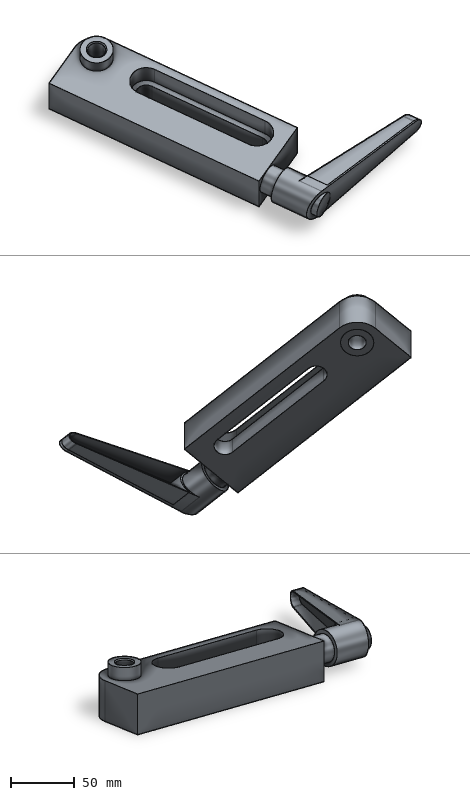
import cadquery as cq
import math


BLOCK_LENGTH = 190.0
BLOCK_WIDTH = 60.0
BLOCK_HEIGHT = 34.0
CORNER_RADIUS = 20.0

BUSH_X = CORNER_RADIUS
BUSH_Y = BLOCK_WIDTH - CORNER_RADIUS
BUSH_DIAMETER = 26.0
BUSH_BORE = 14.0
BUSH_CHAMFER = 1.0
BUSH_PROJECTION = 11.0
BUSH_HEIGHT = BLOCK_HEIGHT + BUSH_PROJECTION

SLOT_CENTRE_X = 115.0
SLOT_TRAVEL = 100.0
POCKET_WIDTH = BUSH_DIAMETER
POCKET_DEPTH = BLOCK_HEIGHT / 2
SLOT_WIDTH = 17.0

LEVER_AXIS_Y = 13.35
LEVER_AXIS_Z = 21.5
STEM_DIAMETER = 23.5
STEM_LENGTH = 12.0
HUB_RADIUS = 15.0
HUB_START_X = BLOCK_LENGTH + STEM_LENGTH
SCREW_HEAD_DIAMETER = 21.0
SCREW_HEAD_END_X = 240.7

ARM_LENGTH = 101.0
ARM_TIP_RADIUS = 7.0
ARM_TIP_Y = LEVER_AXIS_Y + ARM_LENGTH + ARM_TIP_RADIUS
ARM_END_X = 266.9
ARM_LEAN = math.radians(15.0)
ARM_TIP_THICKNESS = 10.4
ARM_ROOT_THICKNESS = 20.4
ARM_WALL = 0.75
ARM_HUB_WALL = 1.5
ARM_FLOOR = 1.8


def outer_face_x(y):
    """X of the leaning outer face of the lever at a given Y."""
    return ARM_END_X - (ARM_TIP_Y - y) * math.tan(ARM_LEAN)


def make_block():
    block = (
        cq.Workplane("XY")
        .box(BLOCK_LENGTH, BLOCK_WIDTH, BLOCK_HEIGHT, centered=False)
        .edges("|Z and <X and >Y")
        .fillet(CORNER_RADIUS)
    )
    bush_hole = (
        cq.Workplane("XY")
        .center(BUSH_X, BUSH_Y)
        .circle(BUSH_DIAMETER / 2)
        .extrude(BLOCK_HEIGHT)
    )
    through_slot = (
        cq.Workplane("XY")
        .center(SLOT_CENTRE_X, BUSH_Y)
        .slot2D(SLOT_TRAVEL + SLOT_WIDTH, SLOT_WIDTH)
        .extrude(BLOCK_HEIGHT)
    )
    pocket = (
        cq.Workplane("XY", origin=(SLOT_CENTRE_X, BUSH_Y, BLOCK_HEIGHT))
        .slot2D(SLOT_TRAVEL + POCKET_WIDTH, POCKET_WIDTH)
        .extrude(-POCKET_DEPTH)
    )
    return block.cut(bush_hole).cut(through_slot).cut(pocket)


def make_bush():
    return (
        cq.Workplane("XY")
        .center(BUSH_X, BUSH_Y)
        .circle(BUSH_DIAMETER / 2)
        .circle(BUSH_BORE / 2)
        .extrude(BUSH_HEIGHT)
        .faces(">Z")
        .edges("%CIRCLE")
        .edges(cq.selectors.RadiusNthSelector(0))
        .chamfer(BUSH_CHAMFER)
    )


def lever_cylinder(radius, start_x, end_x):
    """Cylinder on the lever axis between two X positions."""
    return (
        cq.Workplane("YZ", origin=(start_x, LEVER_AXIS_Y, LEVER_AXIS_Z))
        .circle(radius)
        .extrude(end_x - start_x)
    )


def make_hub():
    """Hub cylinder whose end is cut along the leaning outer face."""
    low_y = LEVER_AXIS_Y - HUB_RADIUS
    high_y = LEVER_AXIS_Y + HUB_RADIUS
    side_outline = (
        cq.Workplane("XY")
        .polyline([
            (HUB_START_X, low_y),
            (outer_face_x(low_y), low_y),
            (outer_face_x(high_y), high_y),
            (HUB_START_X, high_y),
        ])
        .close()
        .extrude(BLOCK_HEIGHT + HUB_RADIUS)
    )
    cylinder = lever_cylinder(HUB_RADIUS, HUB_START_X, ARM_END_X)
    return cylinder.intersect(side_outline)


def tapered_outline(inset):
    """Arm outline seen along X, inset evenly, with flanks tangent to hub and tip, as a prism."""
    root_radius = HUB_RADIUS - inset
    tip_radius = ARM_TIP_RADIUS - inset
    flank_sin = (root_radius - tip_radius) / ARM_LENGTH
    flank_cos = math.sqrt(1 - flank_sin**2)
    root_y = root_radius * flank_sin
    root_z = root_radius * flank_cos
    tip_y = ARM_LENGTH + tip_radius * flank_sin
    tip_z = tip_radius * flank_cos
    return (
        cq.Workplane("YZ", origin=(HUB_START_X, LEVER_AXIS_Y, LEVER_AXIS_Z))
        .moveTo(root_y, -root_z)
        .lineTo(tip_y, -tip_z)
        .threePointArc((ARM_LENGTH + tip_radius, 0), (tip_y, tip_z))
        .lineTo(root_y, root_z)
        .close()
        .extrude(ARM_END_X - HUB_START_X)
    )


def leaning_outline(inset):
    """Arm outline seen along Z, with only its outer face inset, as a prism."""
    inset_x = inset / math.cos(ARM_LEAN)
    root_x = outer_face_x(LEVER_AXIS_Y)
    return (
        cq.Workplane("XY")
        .polyline([
            (root_x - ARM_ROOT_THICKNESS, LEVER_AXIS_Y),
            (root_x - inset_x, LEVER_AXIS_Y),
            (ARM_END_X - inset_x, ARM_TIP_Y),
            (ARM_END_X - ARM_TIP_THICKNESS, ARM_TIP_Y),
        ])
        .close()
        .extrude(BLOCK_HEIGHT + HUB_RADIUS)
    )


def make_arm():
    """Thin-walled arm, open on its inner face and closed by a wall around the hub."""
    solid_arm = tapered_outline(0).intersect(leaning_outline(0))
    hub_wall = lever_cylinder(HUB_RADIUS + ARM_HUB_WALL, HUB_START_X, ARM_END_X)
    cavity = tapered_outline(ARM_WALL).intersect(leaning_outline(ARM_FLOOR)).cut(hub_wall)
    return solid_arm.cut(cavity)


def make_lever():
    stem = lever_cylinder(STEM_DIAMETER / 2, BLOCK_LENGTH, HUB_START_X)
    screw_head = lever_cylinder(SCREW_HEAD_DIAMETER / 2, HUB_START_X, SCREW_HEAD_END_X)
    return make_hub().union(make_arm()).union(stem).union(screw_head)


block = make_block()
bush = make_bush()
lever = make_lever()

result = cq.Compound.makeCompound([block.val(), bush.val(), lever.val()])